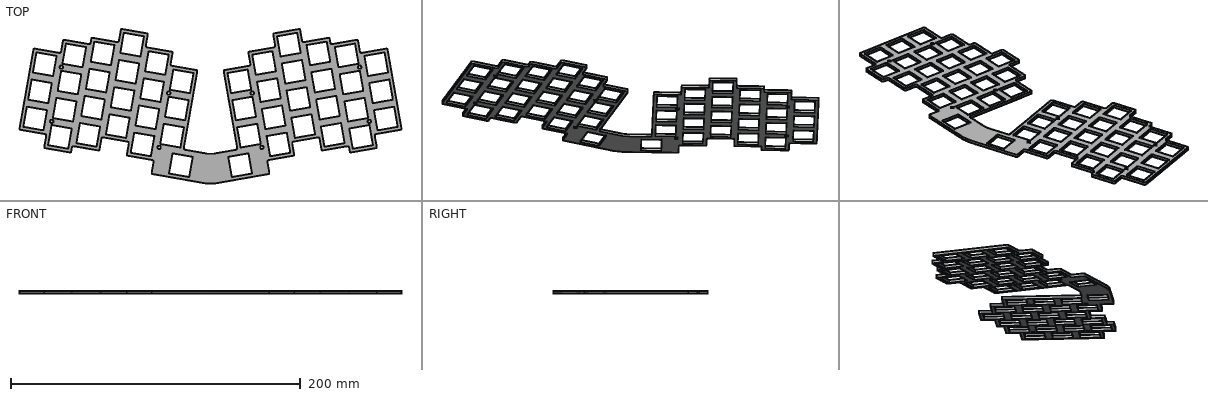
import cadquery as cq
import math

half_width = 132
thickness = 2.0
tilt = 10

cell_diagonal = 27.0
pitch = cell_diagonal / math.sqrt(2)
opening = 14.0
first_row = -24.5
corner_radius = 1.0
columns = [(3, 0), (4, 0.5), (4, 0), (4, 0.5), (4, 0.75), (3, 0.25)]

bar_height = 20.5
front_flat = 7.0
back_flat = front_flat - 2 * bar_height * math.tan(math.radians(tilt / 2))

hole_diameter = 2.22
hole_offset = 7.5
holes = [(0, -0.5), (0, 1.5), (4, 0.5), (4, 2.5)]

cos_tilt = math.cos(math.radians(tilt))
sin_tilt = math.sin(math.radians(tilt))
outer_shift = columns[-1][1]
outer_corner_v = first_row - (outer_shift + 0.5) * pitch
rounding_loss = corner_radius * (cos_tilt + sin_tilt - 1)
outer_corner_u = (half_width + rounding_loss + outer_corner_v * sin_tilt) / cos_tilt
first_column = outer_corner_u - (len(columns) - 0.5) * pitch

thumb_u = first_column - pitch / 2
thumb_v = first_row - pitch


def key_centre(column, row):
    """Centre of a key on the tilted axes, rows counted from the column's lowest key."""
    shift = columns[column][1]
    return first_column + column * pitch, first_row + (row - shift) * pitch


def block(u_min, v_min, width, height):
    """Rectangular plate piece on the tilted axes."""
    return cq.Workplane().box(width, height, thickness, centered=False).translate((u_min, v_min, 0))


def turned(body):
    """Turn a body from the tilted axes into its place on the right half."""
    return body.rotate((0, 0, 0), (0, 0, 1), tilt)


def column_plate(column):
    """Solid strip that carries one column of keys."""
    u, v = key_centre(column, 0)
    key_count = columns[column][0]
    return block(u - pitch / 2, v - pitch / 2, pitch, key_count * pitch)


def thumb_bar():
    """Bar under the inner column, long enough to pass the mirror plane."""
    u_start = -pitch
    u_end = first_column + pitch / 2
    return block(u_start, thumb_v - pitch / 2, u_end - u_start, bar_height)


def half_outline():
    """Right half of the plate without openings, cut off at the mirror plane."""
    plate = thumb_bar()
    for column in range(len(columns)):
        plate = plate.union(column_plate(column))
    plate = plate.clean().edges("|Z").fillet(corner_radius)
    right_side = cq.Workplane().box(
        2 * half_width, 2 * half_width, thickness, centered=(False, True, False)
    )
    return turned(plate).intersect(right_side)


def full_outline():
    """Both halves joined, with a flat across each bend of the bar."""
    half = half_outline()
    plate = half.union(half.mirror("YZ")).clean()
    mirror_plane_zone = cq.selectors.BoxSelector(
        (-corner_radius, -half_width, 0), (corner_radius, half_width, thickness)
    )
    for side, flat in (("<Y", front_flat), (">Y", back_flat)):
        bend = plate.edges("|Z").edges(mirror_plane_zone).edges(side)
        plate = bend.chamfer(flat / 2 / cos_tilt)
    return plate


def switch_openings():
    """Square openings for all the keys of the right half."""
    centres = [(thumb_u, thumb_v)]
    for column, (key_count, _) in enumerate(columns):
        centres += [key_centre(column, row) for row in range(key_count)]
    return turned(cq.Workplane().pushPoints(centres).rect(opening, opening).extrude(thickness))


def screw_holes():
    """Round holes in the webs of the right half."""
    centres = []
    for column, row in holes:
        u, v = key_centre(column, row)
        centres.append((u + hole_offset, v))
    return turned(cq.Workplane().pushPoints(centres).circle(hole_diameter / 2).extrude(thickness))


result = full_outline()
for cutter in (switch_openings(), screw_holes()):
    result = result.cut(cutter).cut(cutter.mirror("YZ"))
result = result.solids()